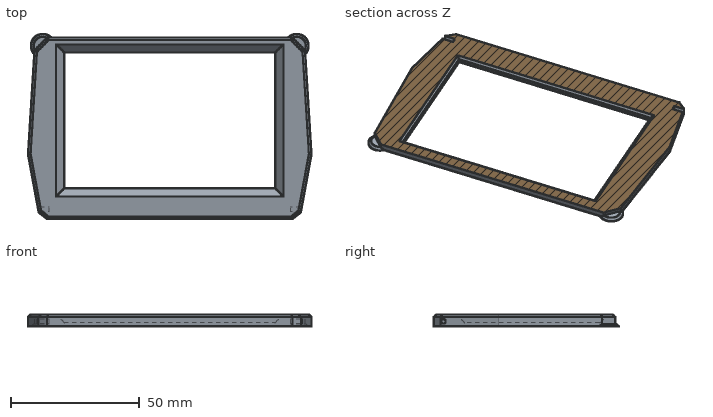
import cadquery as cq

overall_width = 110.31
overall_depth = 71.97
thickness = 4.65
body_depth = 70.6
widest_y = 25.2
edge_chamfer = 1.05

front_half_width = 47.7
front_corner_half_width = 51.0
front_corner_y = 2.65
rear_half_width = 47.6
rear_corner_half_width = 52.65
rear_corner_cut = 5.1
rear_corner_y = body_depth - rear_corner_cut

window_width = 81.9
window_depth = 52.7
window_center_y = 38.35
window_slope = 3.2
window_wall_height = thickness - window_slope

lug_radius = 4.6
lug_height = 1.0
lug_taper = 1.1
lug_top_radius = lug_radius - lug_taper
lug_x = 49.4
lug_y = overall_depth - lug_radius

side_hole_diameter = 1.8
side_hole_depth = 4.0
side_hole_y = 3.75
side_hole_z = 1.95


def make_body():
    right_side = [
        (front_half_width, 0),
        (front_corner_half_width, front_corner_y),
        (overall_width / 2, widest_y),
        (rear_corner_half_width, rear_corner_y),
        (rear_half_width, body_depth),
    ]
    left_side = [(-x, y) for x, y in reversed(right_side)]
    body = cq.Workplane("XY").polyline(right_side + left_side).close().extrude(thickness)
    return body.faces(">Z").edges().chamfer(edge_chamfer)


def make_window():
    center = (0, window_center_y)
    straight = cq.Workplane("XY").center(*center).rect(window_width, window_depth).extrude(thickness)
    sloped = (
        cq.Workplane("XY", origin=(0, window_center_y, window_wall_height))
        .rect(window_width, window_depth)
        .workplane(offset=window_slope)
        .rect(window_width + 2 * window_slope, window_depth + 2 * window_slope)
        .loft(ruled=True)
    )
    return straight.union(sloped)


def make_lug(side):
    center = cq.Vector(side * lug_x, lug_y, 0)
    return cq.Workplane(cq.Solid.makeCone(lug_radius, lug_top_radius, lug_height, center))


def make_side_hole(side):
    inner_end = cq.Vector(side * (front_corner_half_width - side_hole_depth), side_hole_y, side_hole_z)
    length = overall_width / 2 - inner_end.x * side
    return cq.Workplane(
        cq.Solid.makeCylinder(side_hole_diameter / 2, length, inner_end, cq.Vector(side, 0, 0))
    )


result = make_body().cut(make_window())
for side in (-1, 1):
    result = result.union(make_lug(side)).cut(make_side_hole(side))